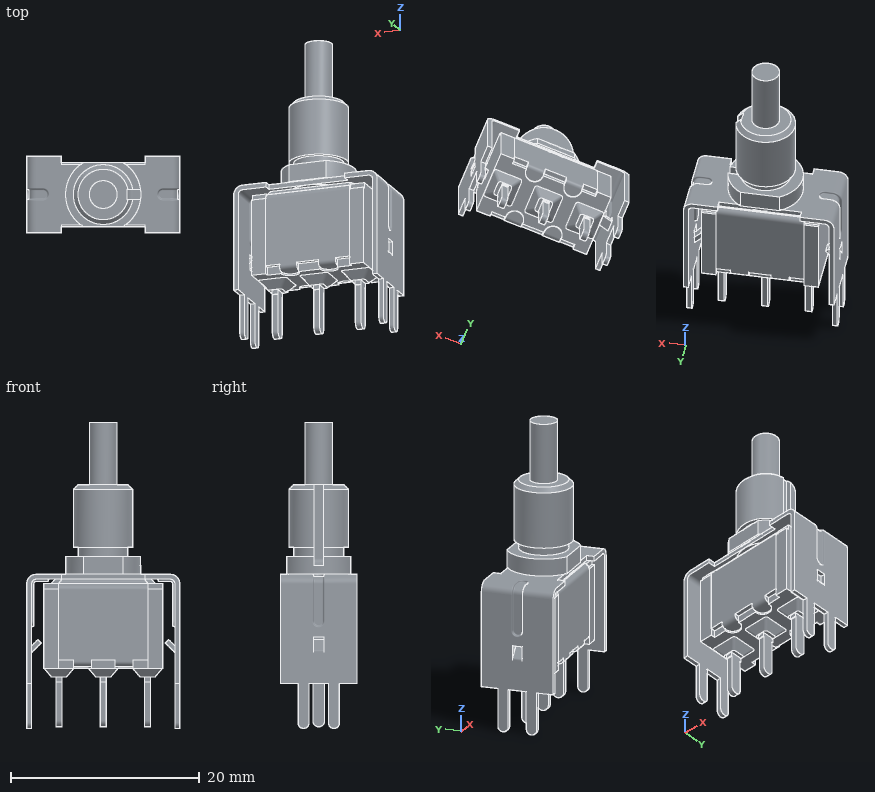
import cadquery as cq
import math


overall_height = 32.48

bracket_length = 16.26
bracket_width = 8.13
sheet = 0.53
bend_radius = 1.02
side_bottom = -11.62
leg_bottom = -16.38
leg_width = 1.17
leg_pitch = 3.22
notch_length = 8.9
notch_to_notch = 6.42

rib_width = 1.08
rib_radius = 0.125
rib_depth = 2 * rib_radius
rib_plate_end = 5.7
rib_side_end = -5.67

window_width = 1.08
window_top = -6.66
window_bottom = -8.23
tab_bend_radius = 0.28
tab_angle = math.radians(45)
tab_length = 1.57

plunger_diameter = 2.95
plunger_top = overall_height + leg_bottom
bushing_diameter = 6.35
bushing_top = 9.5
bushing_chamfer = 0.5
neck_diameter = 5.35
neck_top = 2.84
nut_diameter = 8.0
nut_across_flats = 6.8
nut_height = 1.89
keyway_width = 1.05
keyway_wall = 2.52
keyway_floor = 0.9
keyway_radius = 0.74

case_length = 12.64
case_depth = 6.8
case_top = -0.98
case_bottom = -9.98
case_ledge_depth = 0.3
case_ledge_z = -1.57
pad_bottom_diameter = 11.1
pad_top_diameter = 10.2
pad_depth = 5.64
pad_rounding = 0.43

panel_length = 9.5
panel_depth = 6.84
panel_thickness = 0.55
panel_bottom = -9.1
panel_top_radius = 0.68
clip_width = 1.95
clip_offset = 2.2
clip_bend_top = -9.28
clip_bend_radius = 0.5
clip_bottom = clip_bend_top - clip_bend_radius
clip_pocket_reach = 1.6

pin_pitch = 4.7
pin_thickness = 0.67
pin_width = 1.27
pin_bottom = -16.2
collar_width = 1.45
collar_bottom = -11.45
mound_bottom = -10.93
mound_top_size = 3.2
mound_bottom_size = 1.57
mound_corner_radius = 0.28


def box(x_size, y_size, z_low, z_high, x=0, y=0):
    """Box centred on (x, y), between two heights."""
    blank = cq.Workplane("XY", origin=(x, y, z_low)).rect(x_size, y_size)
    return blank.extrude(z_high - z_low)


def cylinder(diameter, z_low, z_high):
    return cq.Workplane("XY", origin=(0, 0, z_low)).circle(diameter / 2).extrude(z_high - z_low)


def both_ends(solid):
    """The solid together with its mirror image across the YZ plane."""
    return solid.union(solid.mirror("YZ"))


def round_ended_strip(x_centre, x_size, y_centre, width, z_low, z_high):
    """Flat strip hanging down along Z whose lower end is a full half round."""
    radius = width / 2
    strip = box(x_size, width, z_low + radius, z_high, x_centre, y_centre)
    end = cq.Workplane("YZ", origin=(x_centre - x_size / 2, y_centre, z_low + radius))
    return strip.union(end.circle(radius).extrude(x_size))


half_length = bracket_length / 2
bend_x = half_length - bend_radius


def bent_sheet():
    """U section, extruded across the bracket width."""
    outer = box(bracket_length, bracket_width, side_bottom, 0)
    outer = outer.edges("|Y and >Z").fillet(bend_radius)
    inner = box(bracket_length - 2 * sheet, bracket_width, side_bottom, -sheet)
    inner = inner.edges("|Y and >Z").fillet(bend_radius - sheet)
    return outer.cut(inner)


def rib_profile(plane, both_halves):
    """Closed rib section below the local X axis, rounded at the rim and at the floor."""
    half = rib_width / 2
    diagonal = rib_radius / math.sqrt(2)
    profile = (cq.Workplane(plane).moveTo(0, 0).lineTo(half + rib_radius, 0)
               .threePointArc((half + rib_radius - diagonal, diagonal - rib_radius), (half, -rib_radius))
               .threePointArc((half - rib_radius + diagonal, -rib_radius - diagonal),
                              (half - rib_radius, -rib_depth))
               .lineTo(0, -rib_depth))
    return profile.mirrorY() if both_halves else profile.close()


def rib_stretch(bend_plane, length):
    """Straight stretch of rib from the bend, along the plane normal, to its round end."""
    run = rib_profile(bend_plane, True).extrude(length)
    tip_plane = cq.Plane(bend_plane.toWorldCoords((0, 0, length)), bend_plane.xDir, bend_plane.zDir)
    tip = rib_profile(tip_plane, False).revolve(360, (0, 0, 0), (0, 1, 0))
    return run.union(tip)


def rib_layer(inset):
    """Rib following the +X bend, its wide side inset below the outer surface."""
    rim_radius = rib_width / 2 + rib_radius
    across = (0, 1, 0)
    plate_plane = cq.Plane((bend_x, 0, -inset), across, (1, 0, 0))
    side_plane = cq.Plane((half_length - inset, 0, -bend_radius), across, (0, 0, -1))
    plate = rib_stretch(plate_plane, rib_plate_end + rim_radius - bend_x)
    side = rib_stretch(side_plane, -bend_radius - rib_side_end - rim_radius)

    bend_centre = inset - bend_radius
    bend = rib_profile(plate_plane, True).revolve(90, (0, bend_centre, 0), (1, bend_centre, 0))
    return plate.union(bend).union(side)


def locking_tab():
    """Tab lanced out of the +X wall, leaning inward and upward."""
    inner_x = half_length - sheet
    run = math.sin(tab_angle)
    rise = math.cos(tab_angle)

    def on_bend(angle):
        return (half_length - tab_bend_radius * (1 - math.cos(angle)),
                window_bottom + tab_bend_radius * math.sin(angle))

    bend_top = on_bend(tab_angle)
    tip = (bend_top[0] - tab_length * run, bend_top[1] + tab_length * rise)
    lower_tip = (tip[0] - sheet * rise, tip[1] - sheet * run)
    lower_root = (inner_x, lower_tip[1] - (inner_x - lower_tip[0]) * rise / run)
    foot_z = window_bottom - sheet
    return (cq.Workplane("XZ", origin=(0, window_width / 2, 0))
            .moveTo(half_length, foot_z).lineTo(half_length, window_bottom)
            .threePointArc(on_bend(tab_angle / 2), bend_top)
            .lineTo(*tip).lineTo(*lower_tip).lineTo(*lower_root).lineTo(inner_x, foot_z).close()
            .extrude(window_width))


def make_bracket():
    body = bent_sheet()
    notch_width = (bracket_width - notch_to_notch) / 2
    for side in (-1, 1):
        notch_y = side * (bracket_width - notch_width) / 2
        body = body.cut(box(notch_length, notch_width, -sheet, 0, y=notch_y))
    body = body.cut(cylinder(bushing_diameter, -sheet, 0))
    body = body.cut(both_ends(rib_layer(0)))
    body = body.union(both_ends(rib_layer(sheet)))

    wall_x = half_length - sheet / 2
    window = box(sheet, window_width, window_bottom, window_top, wall_x)
    body = body.cut(both_ends(window)).union(both_ends(locking_tab()))
    for leg_y in (-leg_pitch / 2, leg_pitch / 2):
        leg = round_ended_strip(wall_x, sheet, leg_y, leg_width, leg_bottom, side_bottom)
        body = body.union(both_ends(leg))
    return body


def make_bushing():
    """Plunger, bushing and flatted nut, with the keyway on the +X side."""
    sleeve = cylinder(bushing_diameter, neck_top, bushing_top).faces(">Z").chamfer(bushing_chamfer)
    nut = cylinder(nut_diameter, 0, nut_height)
    nut = nut.intersect(box(nut_diameter, nut_across_flats, 0, nut_height))
    stem = cylinder(neck_diameter, 0, neck_top)
    keyway_length = nut_diameter / 2
    keyway = box(keyway_length, keyway_width, keyway_floor, bushing_top, keyway_wall + keyway_length / 2)
    keyway = keyway.edges("|Y and <X and <Z").fillet(keyway_radius)
    turned = sleeve.union(stem).union(nut).cut(keyway)
    shank = cylinder(bushing_diameter, -sheet, 0)
    return turned.union(shank).union(cylinder(plunger_diameter, 0, plunger_top))


def make_pad():
    """Conical pad under the bracket plate, trimmed front and back with rounded edges."""
    pad_height = -sheet - case_top
    cone = (cq.Workplane("XY", origin=(0, 0, case_top)).circle(pad_bottom_diameter / 2)
            .workplane(offset=pad_height).circle(pad_top_diameter / 2).loft())
    trim = box(pad_bottom_diameter, pad_depth, case_top, -sheet)
    return cone.intersect(trim.edges("|X and >Z").fillet(pad_rounding))


def make_panels():
    """Front and back metal panels, each with two clips bent under the case."""
    panels = box(panel_length, panel_depth, panel_bottom, case_top)
    panels = panels.edges("|X and >Z").fillet(panel_top_radius)
    for x in (-clip_offset, clip_offset):
        clip = box(clip_width, panel_depth, clip_bottom, panel_bottom, x)
        panels = panels.union(clip.edges("|X and <Z").fillet(clip_bend_radius))
    return panels


def make_case():
    case = box(case_length, case_depth, case_bottom, case_top)
    recess_depth = (case_depth - panel_depth) / 2 + panel_thickness
    ledge_length = (case_length - panel_length) / 2
    ledge_x = (case_length - ledge_length) / 2
    for side in (-1, 1):
        recess_y = side * (case_depth - recess_depth) / 2
        case = case.cut(box(panel_length, recess_depth, case_bottom, case_top, y=recess_y))
        ledge_y = side * (case_depth - case_ledge_depth) / 2
        ledge = box(ledge_length, case_ledge_depth, case_ledge_z, case_top, ledge_x, ledge_y)
        case = case.cut(both_ends(ledge))
        pocket = (cq.Workplane("XY", origin=(0, side * panel_depth / 2, case_bottom))
                  .pushPoints([(-clip_offset, 0), (clip_offset, 0)])
                  .slot2D(2 * clip_pocket_reach, clip_width, 90)
                  .extrude(clip_bottom - case_bottom))
        case = case.cut(pocket)
    return case.union(make_panels()).union(make_pad())


def make_terminal(x):
    """Sealing mound, collar and round-ended pin."""
    mound = (cq.Workplane("XY", origin=(x, 0, case_bottom))
             .placeSketch(
                 cq.Sketch().rect(mound_top_size, mound_top_size).vertices().fillet(mound_corner_radius),
                 cq.Sketch().rect(mound_bottom_size, mound_bottom_size).vertices()
                 .fillet(mound_corner_radius).moved(cq.Location(cq.Vector(0, 0, mound_bottom - case_bottom))))
             .loft())
    collar = box(pin_thickness, collar_width, collar_bottom, case_bottom, x)
    pin = round_ended_strip(x, pin_thickness, 0, pin_width, pin_bottom, collar_bottom)
    return mound.union(collar).union(pin)


def make_switch():
    switch = make_case().union(make_bushing())
    for x in (-pin_pitch, 0, pin_pitch):
        switch = switch.union(make_terminal(x))
    return switch


bracket = make_bracket()
switch = make_switch()
result = cq.Compound.makeCompound([bracket.val(), switch.val()])